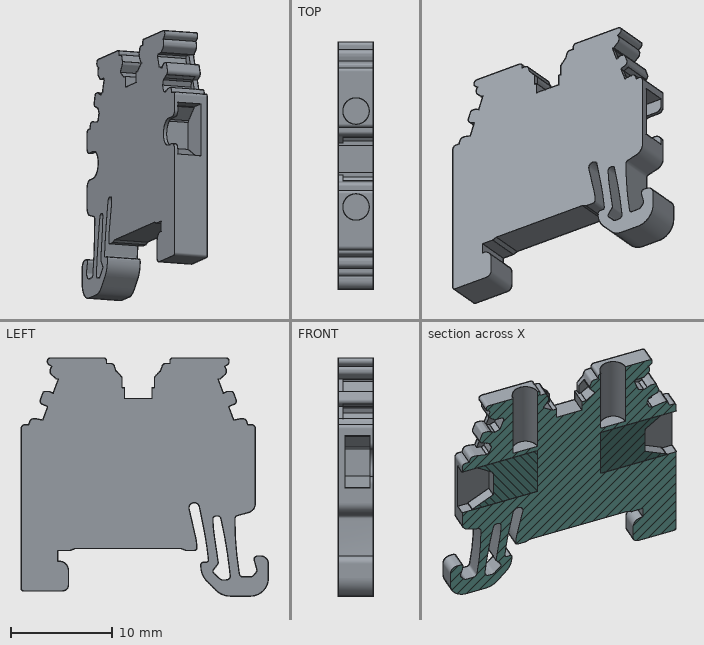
import cadquery as cq
import math


thickness = 3.5
wall_y = 11.58
height = 23.56
hook_y = 12.87
side_plate = 0.5

shoulder_z = 16.96
low_tooth_z = 17.55
mid_tooth_z = 20.25
marker_step_z = 23.01
ledge_z = 20.62
channel_z = 19.55
channel_y = 1.355
flank_foot_z = 17.42

base_z = 0.52
rail_z = 4.52
relief_z = 4.70

seam_z = 9.5

hole_y = 4.74
hole_x = 1.78
hole_radius = 1.31
hole_floor = 16.5

pocket_x_min = 0.69
pocket_x_max = 3.15
pocket_floor = 10.68
pocket_ceiling = 15.88
pocket_depth = wall_y - hole_y + hole_radius

mouth_lip = 0.08
lower_lip_depth = 1.1
upper_lip_depth = 1.79
throat_depth = 3.36
throat_floor = 11.87
throat_chamfer_z = 14.57
throat_ceiling = 14.74
throat_chamfer_depth = 0.07

window_z = 13.18
window_radius = 1.35
window_depth = 1.6
window_top_round = 0.6
window_bottom_round = 0.75


def rounded_outline(corners):
    """Closed YZ outline from (y, z, corner radius) entries, with tangent arcs at the rounded corners."""
    trims = []
    for index, (y, z, radius) in enumerate(corners):
        corner = cq.Vector(y, z)
        before = cq.Vector(*corners[index - 1][:2])
        after = cq.Vector(*corners[(index + 1) % len(corners)][:2])
        to_before = (before - corner).normalized()
        to_after = (after - corner).normalized()
        half_angle = to_before.getAngle(to_after) / 2
        setback = radius / math.tan(half_angle)
        bisector = (to_before + to_after).normalized()
        nearest = radius / math.sin(half_angle) - radius
        trims.append((
            (corner + to_before * setback).toTuple()[:2],
            (corner + bisector * nearest).toTuple()[:2],
            (corner + to_after * setback).toTuple()[:2],
        ))
    outline = cq.Workplane("YZ").moveTo(*trims[0][2])
    for index in [*range(1, len(corners)), 0]:
        start, middle, end = trims[index]
        outline = outline.lineTo(*start)
        if corners[index][2] > 0:
            outline = outline.threePointArc(middle, end)
    return outline.close()


def slab(corners, x_min, x_max):
    """Rounded outline extruded from x_min to x_max."""
    return rounded_outline(corners).extrude(x_max - x_min).translate((x_min, 0, 0))


def with_mirror(body):
    """The body together with its mirror image on the other side of the middle."""
    return body.union(body.mirror("XZ"))


def upper_half():
    """The +Y half above the rail: shoulder, three toothed ridges, screw deck and middle channel."""
    return slab([
        (0, seam_z, 0),
        (wall_y, seam_z, 0),
        (wall_y, shoulder_z, 0.4),
        (10.83, shoulder_z, 0),
        (10.62, low_tooth_z, 0.4),
        (10.10, low_tooth_z, 0.3),
        (9.44, flank_foot_z, 0),
        (8.95, 18.74, 0),
        (9.80, 19.10, 0.37),
        (9.37, mid_tooth_z, 0.25),
        (8.78, mid_tooth_z, 0.2),
        (8.42, 20.07, 0),
        (7.90, 21.45, 0),
        (8.07, 21.45, 0),
        (8.70, 22.00, 0.4),
        (8.72, 22.40, 0.4),
        (8.56, 22.70, 0),
        (8.99, 23.00, 0.36),
        (8.99, height, 0.36),
        (3.12, height, 0.32),
        (3.12, marker_step_z, 0),
        (2.45, marker_step_z, 0.35),
        (2.20, 22.30, 0.1),
        (1.59, 21.64, 0.12),
        (1.59, ledge_z, 0),
        (channel_y, ledge_z, 0),
        (channel_y, channel_z, 0),
        (0, channel_z, 0),
    ], 0, thickness)


def lower_body():
    """Everything below the mirrored part: fixed foot, rail seat and the springy latching foot."""
    return slab([
        (wall_y, seam_z, 0),
        (wall_y, base_z, 0.25),
        (6.88, base_z, 0.6),
        (6.88, 3.48, 0.95),
        (7.93, 3.48, 0),
        (7.93, rail_z, 0),
        (6.70, rail_z, 0),
        (6.25, relief_z, 0),
        (-4.25, relief_z, 0),
        (-4.70, rail_z, 0),
        (-5.80, rail_z, 0.25),
        (-5.80, 5.30, 4.5),
        (-4.90, 9.23, 0.49),
        (-5.95, 9.23, 0.49),
        (-6.75, 5.30, 34),
        (-6.95, 3.38, 0.2),
        (-6.16, 3.38, 0.3),
        (-6.20, 2.07, 2.1),
        (-8.27, 0, 2.0),
        (-hook_y, 0, 1.8),
        (-hook_y, 3.99, 0.78),
        (-11.33, 3.99, 0.35),
        (-11.75, 2.50, 0.3),
        (-11.30, 1.93, 0.5),
        (-10.05, 1.93, 0.3),
        (-9.57, 4.90, 32),
        (-9.57, 7.90, 0.3),
        (-wall_y, 8.45, 0.95),
        (-wall_y, seam_z, 0),
    ], 0, thickness)


def spring_slot():
    """Closed slot that makes the latching foot flexible."""
    return slab([
        (-7.37, 7.92, 0.3),
        (-8.10, 7.92, 0.3),
        (-8.75, 5.00, 45),
        (-9.12, 1.66, 0.35),
        (-8.20, 1.60, 0.5),
        (-7.30, 2.45, 0.25),
        (-7.93, 3.25, 0.3),
        (-7.45, 6.50, 11),
    ], 0, thickness)


def deep_notches():
    """Extra depth of the notches on the +Y side, behind the side plate."""
    lower_notch = [
        (9.50, 18.98, 0),
        (8.63, 18.60, 0),
        (8.42, 18.10, 0),
        (8.66, 17.45, 0),
        (8.95, 17.32, 0),
        (9.44, flank_foot_z, 0),
        (9.60, 18.00, 0),
    ]
    upper_notch = [
        (8.07, 21.45, 0),
        (7.17, 21.42, 0),
        (7.08, 21.20, 0),
        (7.50, 20.10, 0),
        (8.05, 19.90, 0),
        (8.60, 20.16, 0),
    ]
    channel_notch = [
        (2.18, 22.25, 0),
        (2.25, 21.95, 0.25),
        (2.76, 21.27, 0),
        (1.80, ledge_z, 0),
        (channel_y, ledge_z, 0),
        (channel_y, 22.00, 0),
    ]
    notches = slab(lower_notch, side_plate, thickness)
    for corners in (upper_notch, channel_notch):
        notches = notches.union(slab(corners, side_plate, thickness))
    return notches


def depth_to_y(depth):
    """Y of a point at this depth behind the +Y end wall."""
    return wall_y - depth


def screw_hole():
    """Blind vertical screw hole in the deck on the +Y side."""
    hole = cq.Workplane("XY", origin=(hole_x, hole_y, hole_floor))
    return hole.circle(hole_radius).extrude(height - hole_floor)


def conductor_pocket():
    """Rectangular pocket in the +Y end wall."""
    return slab([
        (wall_y, pocket_floor, 0),
        (wall_y, pocket_ceiling, 0),
        (depth_to_y(pocket_depth), pocket_ceiling, 0),
        (depth_to_y(pocket_depth), pocket_floor, 0),
    ], pocket_x_min, pocket_x_max)


def pocket_window():
    """Keyhole opening in the +X wall of the pocket, flared where it leaves the +Y end wall."""
    centre_y = depth_to_y(window_depth)
    top = window_z + window_radius
    bottom = window_z - window_radius
    outline = (
        cq.Workplane("YZ", origin=(pocket_x_max, 0, 0))
        .moveTo(centre_y, top)
        .threePointArc((centre_y - window_radius, window_z), (centre_y, bottom))
        .lineTo(wall_y - window_bottom_round, bottom)
        .radiusArc((wall_y, bottom - window_bottom_round), window_bottom_round)
        .lineTo(wall_y, top + window_top_round)
        .radiusArc((wall_y - window_top_round, top), window_top_round)
        .close()
    )
    return outline.extrude(thickness - pocket_x_max)


def make_housing():
    """Insulating housing with its notches, spring slot, screw holes and conductor pockets."""
    housing = with_mirror(upper_half()).union(lower_body()).clean()
    housing = housing.cut(spring_slot())
    for cutter in (deep_notches(), screw_hole(), conductor_pocket(), pocket_window()):
        housing = housing.cut(cutter).cut(cutter.mirror("XZ"))
    return housing


def make_clamp(side):
    """Clamp block filling a pocket behind its funnel mouth; side is +1 or -1 for the Y end."""
    profile = [
        (lower_lip_depth, pocket_floor),
        (lower_lip_depth, pocket_floor + mouth_lip),
        (throat_depth, throat_floor),
        (throat_depth, throat_chamfer_z),
        (throat_depth - throat_chamfer_depth, throat_ceiling),
        (upper_lip_depth, pocket_ceiling - mouth_lip),
        (upper_lip_depth, pocket_ceiling),
        (pocket_depth, pocket_ceiling),
        (pocket_depth, pocket_floor),
    ]
    return slab([(side * depth_to_y(depth), z, 0) for depth, z in profile], pocket_x_min, pocket_x_max)


housing = make_housing()
clamps = [make_clamp(side) for side in (-1, 1)]

result = cq.Compound.makeCompound([housing.val(), *[clamp.val() for clamp in clamps]])